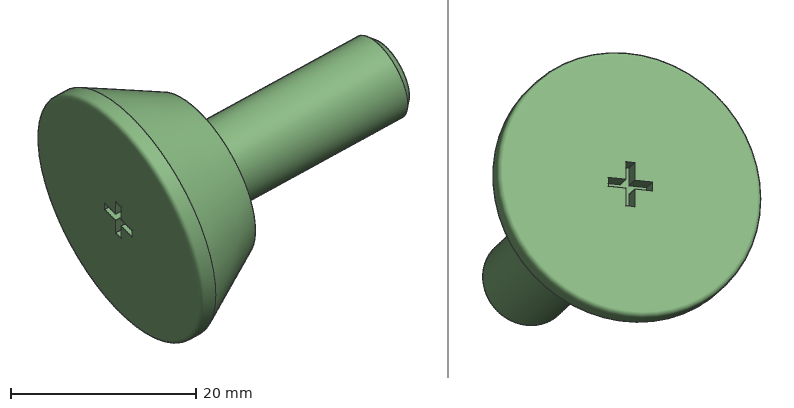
import cadquery as cq

total_length = 36.0
head_diameter = 30.0
head_length = 11.0
rim_thickness = 2.0
rim_fillet = 0.5
cone_top_diameter = 20.0
shaft_diameter = 10.0
shaft_chamfer = 0.9
cross_span = 5.0
cross_arm_width = 1.0
cross_depth = 2.0

shaft_length = total_length - head_length


def make_head():
    """Knob head: a short cylindrical rim narrowing in a cone towards the shaft (+Y)."""
    profile = (
        cq.Workplane("XY")
        .lineTo(head_diameter / 2, 0)
        .lineTo(head_diameter / 2, rim_thickness)
        .lineTo(cone_top_diameter / 2, head_length)
        .lineTo(0, head_length)
        .close()
    )
    head = profile.revolve(360, (0, 0, 0), (0, 1, 0))
    return head.faces("<Y").edges().fillet(rim_fillet)


def make_shaft():
    """Round shaft along +Y with a chamfered free end."""
    shaft = (
        cq.Workplane("XZ", origin=(0, head_length, 0))
        .circle(shaft_diameter / 2)
        .extrude(-shaft_length)
    )
    return shaft.faces(">Y").edges().chamfer(shaft_chamfer)


def make_cross_recess():
    """Cross-shaped driver recess, cut into the flat face of the head."""
    sketch_plane = cq.Workplane("XZ")
    horizontal_arm = sketch_plane.rect(cross_span, cross_arm_width).extrude(-cross_depth)
    vertical_arm = sketch_plane.rect(cross_arm_width, cross_span).extrude(-cross_depth)
    return horizontal_arm.union(vertical_arm)


result = make_head().union(make_shaft()).cut(make_cross_recess())